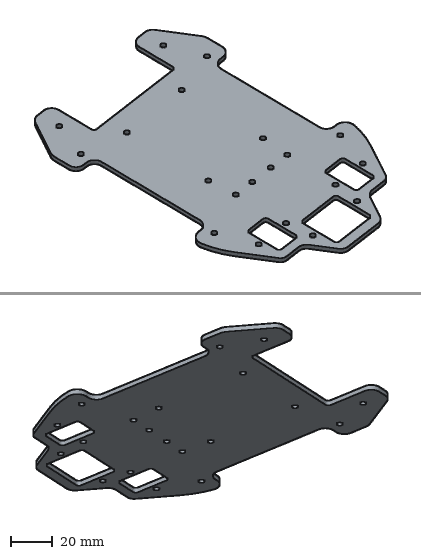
import cadquery as cq
import math

LENGTH = 174.0
WIDTH = 112.0
THICKNESS = 2.8
FRONT_X = -LENGTH / 2
TAIL_X = LENGTH / 2
LUG_Y = WIDTH / 2

NOTCH_FLOOR_X = -59.2
NOTCH_HALF_WIDTH = 29.5
BODY_HALF_WIDTH = 43.8
FRONT_LUG_END_X = -47.2
REAR_LUG_START_X = 25.8
SHOULDER_X = 69.3

EDGE_ANGLE = math.radians(30)
EDGE_SLOPE = math.tan(EDGE_ANGLE)
FRONT_SLOPE_TOP_X = -63.2
SHOULDER_Y = 38.0
TAIL_HALF_WIDTH = 13.7

CORNER_RADIUS = 5.0
FRONT_SLOPE_TOP_RADIUS = 7.0
REAR_LUG_RADIUS = 5.5
SHOULDER_RADIUS = 4.0
INNER_RADIUS = 1.7

CROWN_RADIUS = 50.0
CROWN_END_X = 48.4

HOLE_DIAMETER = 3.0
SIDE_HOLE_X = 53.5
LUG_HOLE_Y = 46.1
OUTER_HOLE_Y = 38.1
BODY_HOLE_Y = 20.0
CROSS_ROW_X = 22.0
HOLE_PAIRS = [
    (-74.1, OUTER_HOLE_Y),
    (-53.2, LUG_HOLE_Y),
    (32.0, LUG_HOLE_Y),
    (-46.6, BODY_HOLE_Y),
    (5.4, BODY_HOLE_Y),
    (CROSS_ROW_X, 18.8),
    (CROSS_ROW_X, 6.8),
    (SIDE_HOLE_X, OUTER_HOLE_Y),
    (SIDE_HOLE_X, 18.1),
    (68.9, 16.2),
]

SIDE_WINDOW_X = 53.6
SIDE_WINDOW_Y = 28.2
SIDE_WINDOW_LENGTH = 20.9
SIDE_WINDOW_WIDTH = 13.5
TAIL_WINDOW_X = 69.8
TAIL_WINDOW_LENGTH = 23.1
TAIL_WINDOW_WIDTH = 25.5


def half_plate():
    """The +Y half of the plate with its corners rounded."""
    front_slope_low_y = LUG_Y - (FRONT_SLOPE_TOP_X - FRONT_X) * EDGE_SLOPE
    tail_slope_top_y = TAIL_HALF_WIDTH + (TAIL_X - SHOULDER_X) * EDGE_SLOPE

    crown_end_y = SHOULDER_Y + (SHOULDER_X - CROWN_END_X) * EDGE_SLOPE
    crown_center_x = CROWN_END_X - CROWN_RADIUS * math.sin(EDGE_ANGLE)
    crown_center_y = crown_end_y - CROWN_RADIUS * math.cos(EDGE_ANGLE)

    def crown_point(x):
        return (x, crown_center_y + math.sqrt(CROWN_RADIUS**2 - (x - crown_center_x) ** 2))

    crown_start = crown_point(REAR_LUG_START_X)
    crown_middle = crown_point((REAR_LUG_START_X + CROWN_END_X) / 2)
    crown_end = (CROWN_END_X, crown_end_y)

    corners_before_crown = [
        (NOTCH_FLOOR_X, NOTCH_HALF_WIDTH, INNER_RADIUS),
        (FRONT_X, NOTCH_HALF_WIDTH, CORNER_RADIUS),
        (FRONT_X, front_slope_low_y, CORNER_RADIUS),
        (FRONT_SLOPE_TOP_X, LUG_Y, FRONT_SLOPE_TOP_RADIUS),
        (FRONT_LUG_END_X, LUG_Y, CORNER_RADIUS),
        (FRONT_LUG_END_X, BODY_HALF_WIDTH, CORNER_RADIUS),
        (REAR_LUG_START_X, BODY_HALF_WIDTH, CORNER_RADIUS),
        (*crown_start, REAR_LUG_RADIUS),
    ]
    corners_after_crown = [
        (SHOULDER_X, SHOULDER_Y, SHOULDER_RADIUS),
        (SHOULDER_X, tail_slope_top_y, CORNER_RADIUS),
        (TAIL_X, TAIL_HALF_WIDTH, CORNER_RADIUS),
    ]
    outline = cq.Workplane("XY").moveTo(NOTCH_FLOOR_X, 0)
    for x, y, _ in corners_before_crown:
        outline = outline.lineTo(x, y)
    outline = outline.threePointArc(crown_middle, crown_end)
    for x, y, _ in corners_after_crown:
        outline = outline.lineTo(x, y)
    half = outline.lineTo(TAIL_X, 0).close().extrude(THICKNESS)

    for x, y, radius in corners_before_crown + corners_after_crown:
        corner_edge = cq.selectors.NearestToPointSelector((x, y, THICKNESS / 2))
        half = half.edges("|Z").edges(corner_edge).fillet(radius)
    return half


def windows(centres, length, width):
    """Cutters for rectangular windows with rounded corners."""
    boxes = cq.Workplane("XY").pushPoints(centres).rect(length, width).extrude(THICKNESS)
    return boxes.edges("|Z").fillet(INNER_RADIUS)


def screw_holes():
    """Cutters for the screw holes on both sides of the centreline."""
    centres = [(x, side * y) for x, y in HOLE_PAIRS for side in (1, -1)]
    return cq.Workplane("XY").pushPoints(centres).circle(HOLE_DIAMETER / 2).extrude(THICKNESS)


half = half_plate()
plate = half.union(half.mirror("XZ")).clean()

side_window_centres = [(SIDE_WINDOW_X, side * SIDE_WINDOW_Y) for side in (1, -1)]
plate = plate.cut(windows(side_window_centres, SIDE_WINDOW_LENGTH, SIDE_WINDOW_WIDTH))
plate = plate.cut(windows([(TAIL_WINDOW_X, 0)], TAIL_WINDOW_LENGTH, TAIL_WINDOW_WIDTH))

result = plate.cut(screw_holes())